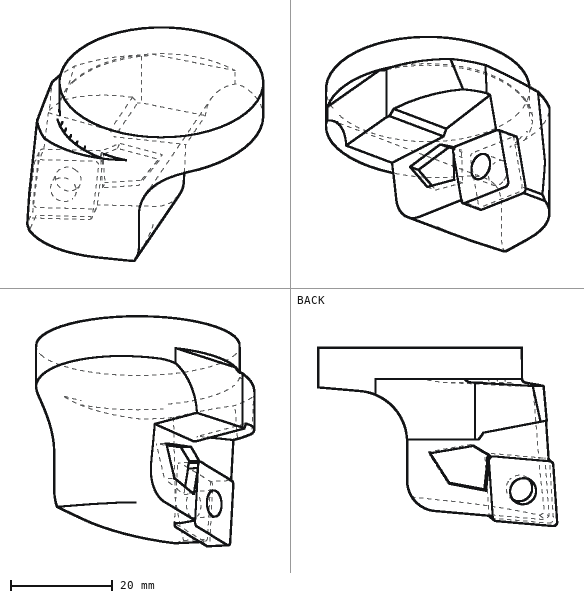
import cadquery as cq
import math

DISC_R = 19.99
DISC_H = 6.15
BACK_Y = 17.95
FRONT_ARC_X = -5.95
FRONT_ARC_R = 22.0
FRONT_ARC_SWEEP = 60
BACK_ARC_START_X = -10.75
BACK_ARC_MID = (-15.95, 15.7)
BACK_ARC_END = (-24.85, 6.8)
REACH = 56.25

NECK_R, NECK_Z = 20.58, -6.85
NECK_FILLET_MID = (20.15, -6.55)
RIM_R, RIM_Z = 24.5, -7.55
RIM_FLARE = 5.3

FACE_SLOPE = 5
STEM_X = 2.6
UNDERSIDE_Z = -7.85
RELIEF_R = 10.0
HEEL_R = 6.0
STEM_FOOT_Z = -31.6

INSERT_SIDE = 12.9
INSERT_T = 4.87
INSERT_NOSE_R = 0.8
INSERT_HOLE_D = 5.15
INSERT_TIP = (-26.95, 0, -35.1)
TURN = 9
TILT = 7
EDGE_LOW = 5
EDGE_SIDE = 85
SIDE_PROUD = 0.85
LOW_PROUD = 0.6
NOSE_CHAMFER = 0.8

CEILING = [(-28.1, -13.7), (-12.4, -16.7), (-11.5, -18.0)]

RECESS_DEPTH = 2.35
RECESS_OUTLINE = [(13.7, 13.95), (17.05, 15.95), (25.6, 14.5), (21.55, 8.45), (14.35, 7.1)]


def cos(angle):
    return math.cos(math.radians(angle))


def sin(angle):
    return math.sin(math.radians(angle))


def tan(angle):
    return math.tan(math.radians(angle))


def along(angle, length):
    return (length * cos(angle), length * sin(angle))


rake = cq.Plane(
    origin=INSERT_TIP,
    xDir=(cos(TURN), sin(TURN), 0),
    normal=(sin(TURN) * cos(TILT), -cos(TURN) * cos(TILT), sin(TILT)),
)


def make_insert_blank():
    """Rhombus with rounded corners, behind the rake plane."""
    low = along(EDGE_LOW, INSERT_SIDE)
    side = along(EDGE_SIDE, INSERT_SIDE)
    far = (low[0] + side[0], low[1] + side[1])
    rhombus = cq.Workplane(rake).polyline([(0, 0), low, far, side]).close().extrude(INSERT_T)
    corners = rhombus.edges(cq.selectors.ParallelDirSelector(rake.zDir))
    return corners.fillet(INSERT_NOSE_R)


def make_insert():
    centre = (INSERT_SIDE * (cos(EDGE_LOW) + cos(EDGE_SIDE)) / 2,
              INSERT_SIDE * (sin(EDGE_LOW) + sin(EDGE_SIDE)) / 2)
    hole = cq.Workplane(rake).center(*centre).circle(INSERT_HOLE_D / 2).extrude(INSERT_T)
    return make_insert_blank().cut(hole)


def make_plan_prism():
    """Plan outline of the body, full height."""
    arc_centre_y = FRONT_ARC_R - DISC_R

    def on_front_arc(angle):
        return (FRONT_ARC_X - FRONT_ARC_R * sin(angle), arc_centre_y - FRONT_ARC_R * cos(angle))

    disc_x = math.sqrt(DISC_R ** 2 - BACK_Y ** 2)
    return (
        cq.Workplane("XY")
        .moveTo(0, -DISC_R)
        .lineTo(FRONT_ARC_X, -DISC_R)
        .threePointArc(on_front_arc(FRONT_ARC_SWEEP / 2), on_front_arc(FRONT_ARC_SWEEP))
        .lineTo(-REACH, on_front_arc(FRONT_ARC_SWEEP)[1])
        .lineTo(-REACH, BACK_ARC_END[1])
        .lineTo(*BACK_ARC_END)
        .threePointArc(BACK_ARC_MID, (BACK_ARC_START_X, BACK_Y))
        .lineTo(disc_x, BACK_Y)
        .threePointArc((DISC_R, 0), (0, -DISC_R))
        .close()
        .extrude(-REACH)
    )


def make_envelope():
    """Conical shoulder with a neck fillet, and flared flank below it."""
    foot_r = RIM_R + (RIM_Z + REACH) * tan(RIM_FLARE)
    return (
        cq.Workplane("XZ")
        .lineTo(DISC_R, 0)
        .lineTo(DISC_R, -DISC_H)
        .threePointArc(NECK_FILLET_MID, (NECK_R, NECK_Z))
        .lineTo(RIM_R, RIM_Z)
        .lineTo(foot_r, -REACH)
        .lineTo(0, -REACH)
        .close()
        .revolve(360, (0, 0, 0), (0, 1, 0))
    )


def make_side_profile():
    """Outline in XZ: disc underside, relief arc, stem and rounded heel."""
    slope = tan(FACE_SLOPE)
    inner_corner_z = UNDERSIDE_Z - (DISC_R - STEM_X) * slope
    profile = (
        cq.Workplane("XZ", origin=(0, REACH, 0))
        .moveTo(-REACH, 0)
        .lineTo(REACH, 0)
        .lineTo(REACH, UNDERSIDE_Z + (REACH - DISC_R) * slope)
        .lineTo(STEM_X, inner_corner_z)
        .lineTo(STEM_X, STEM_FOOT_Z)
        .lineTo(-REACH, STEM_FOOT_Z - (STEM_X + REACH) * slope)
        .close()
        .extrude(2 * REACH)
    )
    relief_edge = cq.selectors.NearestToPointSelector((STEM_X, 0, inner_corner_z))
    heel_edge = cq.selectors.NearestToPointSelector((STEM_X, 0, STEM_FOOT_Z))
    return profile.edges(relief_edge).fillet(RELIEF_R).edges(heel_edge).fillet(HEEL_R)


def make_nose_trim():
    """Side and bottom faces parallel to the insert edges, with a chamfered corner."""
    wedge = sin(EDGE_SIDE - EDGE_LOW)
    corner_x = (SIDE_PROUD * cos(EDGE_LOW) + LOW_PROUD * cos(EDGE_SIDE)) / wedge
    corner_y = (SIDE_PROUD * sin(EDGE_LOW) + LOW_PROUD * sin(EDGE_SIDE)) / wedge

    def from_corner(angle, length):
        step = along(angle, length)
        return (corner_x + step[0], corner_y + step[1])

    outline = [
        from_corner(EDGE_LOW, NOSE_CHAMFER),
        from_corner(EDGE_LOW, 2 * REACH),
        (2 * REACH, 2 * REACH),
        from_corner(EDGE_SIDE, 2 * REACH),
        from_corner(EDGE_SIDE, NOSE_CHAMFER),
    ]
    return cq.Workplane(rake).polyline(outline).close().extrude(REACH, both=True)


def make_chip_pocket():
    """Space in front of the rake plane and below the pocket ceiling."""
    ahead = cq.Workplane(rake).rect(4 * REACH, 4 * REACH).extrude(-REACH)
    below = (
        cq.Workplane("XZ", origin=(0, REACH, 0))
        .polyline([(-REACH, -REACH), (-REACH, CEILING[0][1]), *CEILING,
                   (REACH, CEILING[-1][1]), (REACH, -REACH)])
        .close()
        .extrude(2 * REACH)
    )
    return ahead.intersect(below)


def make_holder():
    body = make_plan_prism().intersect(make_envelope())
    body = body.intersect(make_side_profile()).intersect(make_nose_trim())
    body = body.cut(make_chip_pocket())
    body = body.cut(make_insert_blank())
    recess = cq.Workplane(rake).polyline(RECESS_OUTLINE).close().extrude(RECESS_DEPTH)
    body = body.cut(recess)
    disc = cq.Workplane("XY").circle(DISC_R).extrude(-DISC_H)
    return body.union(disc)


holder = make_holder()
insert = make_insert()
result = cq.Compound.makeCompound([holder.val(), insert.val()])